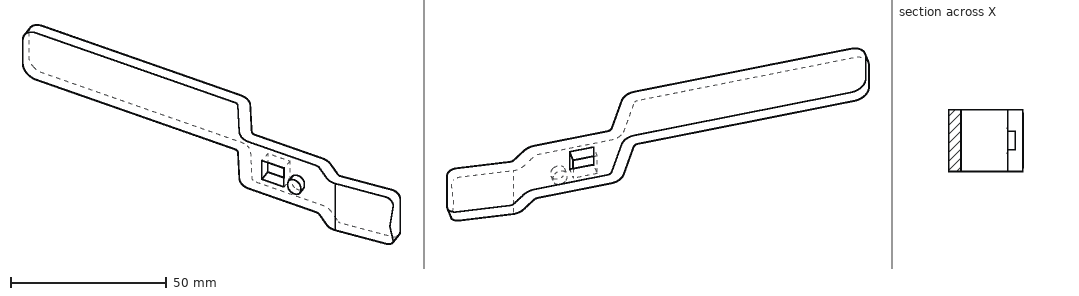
import cadquery as cq
import math

length = 145.0
width = 20.0
thickness = 4.0
depth = 24.0

main_angle = math.radians(60)
main_bend_x = 79.6
main_step = 15.0
main_radius = 1.9
tail_angle = math.radians(37)
tail_bend_x = 116.5
tail_step = 5.1
flat_end_radius = 2.6
tail_radius = 1.5
tip_angle = math.radians(6)

handle_corner_radius = 5.0
tip_corner_radius = 3.0

wedge_start_x = 124.5
wedge_apex_x = 144.5
wedge_overlap = 1.5

hole_side = 8.0
hole_x = 99.2
pin_x = 108.3
pin_width = 4.6
pin_length = 6.0
pin_height = 2.5

handle_y = -thickness / 2
flat_y = handle_y - main_step
tail_y = flat_y - tail_step
main_bend_end_x = main_bend_x + main_step / math.tan(main_angle)
tail_bend_end_x = tail_bend_x + tail_step / math.tan(tail_angle)
tip_y = tail_y + (length - tail_bend_end_x) * math.tan(tip_angle)
tip_front_y = tip_y - thickness / 2 / math.cos(tip_angle)

bends = [
    (main_bend_x, handle_y, 0, -main_angle, main_radius),
    (main_bend_end_x, flat_y, -main_angle, 0, main_radius),
    (tail_bend_x, flat_y, 0, -tail_angle, flat_end_radius),
    (tail_bend_end_x, tail_y, -tail_angle, tip_angle, tail_radius),
]


def face_corner(bend, side):
    """Mitred corner of the back (side=1) or front (side=-1) face at a bend."""
    x, y, before, after, _ = bend
    normal = (before + after) / 2 + math.pi / 2
    reach = side * thickness / 2 / math.cos((after - before) / 2)
    return (x + reach * math.cos(normal), y + reach * math.sin(normal))


def make_strip():
    tip_half = thickness / 2 / math.cos(tip_angle)
    back = [(0, 0)] + [face_corner(bend, 1) for bend in bends] + [(length, tip_y + tip_half)]
    front = [(0, -thickness)] + [face_corner(bend, -1) for bend in bends] + [(length, tip_front_y)]
    strip = cq.Workplane("XY").polyline(back + front[::-1]).close().extrude(width / 2, both=True)
    for bend in bends:
        turn = bend[3] - bend[2]
        inner_side = 1 if turn > 0 else -1
        for side in (1, -1):
            radius = bend[4] + (0 if side == inner_side else thickness)
            x, y = face_corner(bend, side)
            nearest = cq.selectors.NearestToPointSelector((x, y, 0))
            strip = strip.edges("|Z").edges(nearest).fillet(radius)
    return strip


def make_wedge():
    """Pyramid giving the tip a flat triangular front and two sloping sides."""
    half = width / 2
    start_y = tail_y - thickness / 2 / math.cos(tip_angle)
    start_y += (wedge_start_x - tail_bend_end_x) * math.tan(tip_angle)
    apex = cq.Vector(wedge_apex_x, -depth, 0)
    bottom_start = cq.Vector(wedge_start_x, start_y, -half)
    top_start = cq.Vector(wedge_start_x, start_y, half)
    top_end = cq.Vector(length, tip_front_y, half)
    bottom_end = cq.Vector(length, tip_front_y, -half)
    sunk = cq.Vector(0, wedge_overlap, 0)
    rim = [bottom_start, top_start, top_end, bottom_end]
    loops = [[a, b, apex] for a, b in zip(rim, rim[1:] + rim[:1])]
    loops += [[a, b, b + sunk, a + sunk] for a, b in zip(rim, rim[1:] + rim[:1])]
    loops.append([corner + sunk for corner in rim])
    faces = [cq.Face.makeFromWires(cq.Wire.makePolygon(loop, close=True)) for loop in loops]
    return cq.Workplane(cq.Solid.makeSolid(cq.Shell.makeShell(faces)))


def make_outline():
    """Rounded rectangle, swept along Y, that trims the strip's corners."""
    blank = cq.Workplane("XY").box(length, 2 * depth, width).translate((length / 2, -depth / 2, 0))
    blank = blank.edges("|Y and <X").fillet(handle_corner_radius)
    return blank.edges("|Y and >X").fillet(tip_corner_radius)


def make_pin():
    """Pin with rounded ends, standing on the front of the middle flat."""
    base = cq.Workplane("XZ", origin=(pin_x, flat_y, 0))
    return base.slot2D(pin_length, pin_width, 90).extrude(thickness / 2 + pin_height)


def make_hole():
    return cq.Workplane("XY").box(hole_side, 2 * thickness, hole_side).translate((hole_x, flat_y, 0))


result = make_strip().union(make_wedge()).intersect(make_outline())
result = result.union(make_pin()).cut(make_hole())